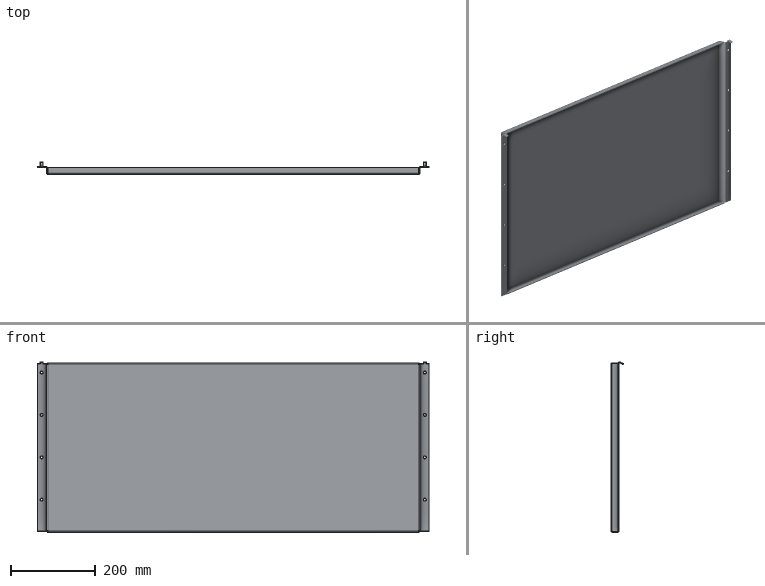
import cadquery as cq
import math


sheet = 2.0
inner_radius = 2.0
outer_radius = inner_radius + sheet
overall_width = 924.0
tray_width = 881.0
tray_height = 400.0
tray_depth = 19.0
flange_height = 396.0
rim_width = 876.0
rim_depth = 17.0

hole_diameter = 6.0
hole_pitch = 100.0
hole_count = 4
top_hole_z = 177.0
hole_x = 452.0

hook_width = 7.0
hook_rise = 3.65
hook_reach = 10.45
hook_droop = 25.0


def front_sheet():
    """Flat front face between the four bends."""
    flat_width = tray_width - 2 * outer_radius
    flat_height = tray_height - 2 * outer_radius
    return cq.Workplane("XY").box(flat_width, sheet, flat_height, centered=(True, False, True))


def diagonal(radius):
    """Offset from a bend centre to the middle of its quarter arc."""
    return radius * math.sqrt(0.5)


def side_fold():
    """Right-hand side wall and mounting flange, with their two bends."""
    wall_outer = tray_width / 2
    wall_inner = wall_outer - sheet
    front_bend_x = wall_outer - outer_radius
    flange_bend_x = wall_outer + inner_radius
    flange_bend_y = tray_depth - outer_radius
    flange_end = overall_width / 2
    flange_front = tray_depth - sheet
    profile = (
        cq.Workplane("XY")
        .moveTo(front_bend_x, 0)
        .threePointArc(
            (front_bend_x + diagonal(outer_radius), outer_radius - diagonal(outer_radius)),
            (wall_outer, outer_radius),
        )
        .lineTo(wall_outer, flange_bend_y)
        .threePointArc(
            (flange_bend_x - diagonal(inner_radius), flange_bend_y + diagonal(inner_radius)),
            (flange_bend_x, flange_front),
        )
        .lineTo(flange_end, flange_front)
        .lineTo(flange_end, tray_depth)
        .lineTo(flange_bend_x, tray_depth)
        .threePointArc(
            (flange_bend_x - diagonal(outer_radius), flange_bend_y + diagonal(outer_radius)),
            (wall_inner, flange_bend_y),
        )
        .lineTo(wall_inner, outer_radius)
        .threePointArc(
            (front_bend_x + diagonal(inner_radius), outer_radius - diagonal(inner_radius)),
            (front_bend_x, sheet),
        )
        .close()
    )
    return profile.extrude(flange_height / 2, both=True)


def top_rim():
    """Top edge of the tray, folded straight back."""
    rim_top = tray_height / 2
    bend_z = rim_top - outer_radius
    profile = (
        cq.Workplane("YZ")
        .moveTo(0, bend_z)
        .threePointArc(
            (outer_radius - diagonal(outer_radius), bend_z + diagonal(outer_radius)),
            (outer_radius, rim_top),
        )
        .lineTo(rim_depth, rim_top)
        .lineTo(rim_depth, rim_top - sheet)
        .lineTo(outer_radius, rim_top - sheet)
        .threePointArc(
            (outer_radius - diagonal(inner_radius), bend_z + diagonal(inner_radius)),
            (sheet, bend_z),
        )
        .close()
    )
    return profile.extrude(rim_width / 2, both=True)


def hook():
    """Right-hand hook: curls back off the flange top, then slopes down."""
    bend_outer = hook_rise
    bend_inner = hook_rise - sheet
    center_y = tray_depth - sheet + bend_outer
    center_z = flange_height / 2
    droop = math.radians(hook_droop)
    tip_y = tray_depth + hook_reach
    slope_length = (tip_y - center_y - bend_outer * math.sin(droop)) / math.cos(droop)

    def bend_point(radius, angle):
        return (center_y + radius * math.sin(angle), center_z + radius * math.cos(angle))

    def tip_point(radius):
        y, z = bend_point(radius, droop)
        return (y + slope_length * math.cos(droop), z - slope_length * math.sin(droop))

    middle = (droop - math.pi / 2) / 2
    profile = (
        cq.Workplane("YZ", origin=(hole_x, 0, 0))
        .moveTo(*bend_point(bend_outer, -math.pi / 2))
        .threePointArc(bend_point(bend_outer, middle), bend_point(bend_outer, droop))
        .lineTo(*tip_point(bend_outer))
        .lineTo(*tip_point(bend_inner))
        .lineTo(*bend_point(bend_inner, droop))
        .threePointArc(bend_point(bend_inner, middle), bend_point(bend_inner, -math.pi / 2))
        .close()
    )
    return profile.extrude(hook_width / 2, both=True)


def mounting_holes():
    """Drills for the column of holes in the right-hand flange."""
    centers = [(hole_x, top_hole_z - i * hole_pitch) for i in range(hole_count)]
    drill_depth = 2 * tray_depth
    return cq.Workplane("XZ").pushPoints(centers).circle(hole_diameter / 2).extrude(-drill_depth)


right_side = side_fold().union(hook()).cut(mounting_holes())
upper_rim = top_rim()

result = (
    front_sheet()
    .union(right_side)
    .union(right_side.mirror("YZ"))
    .union(upper_rim)
    .union(upper_rim.mirror("XY"))
)